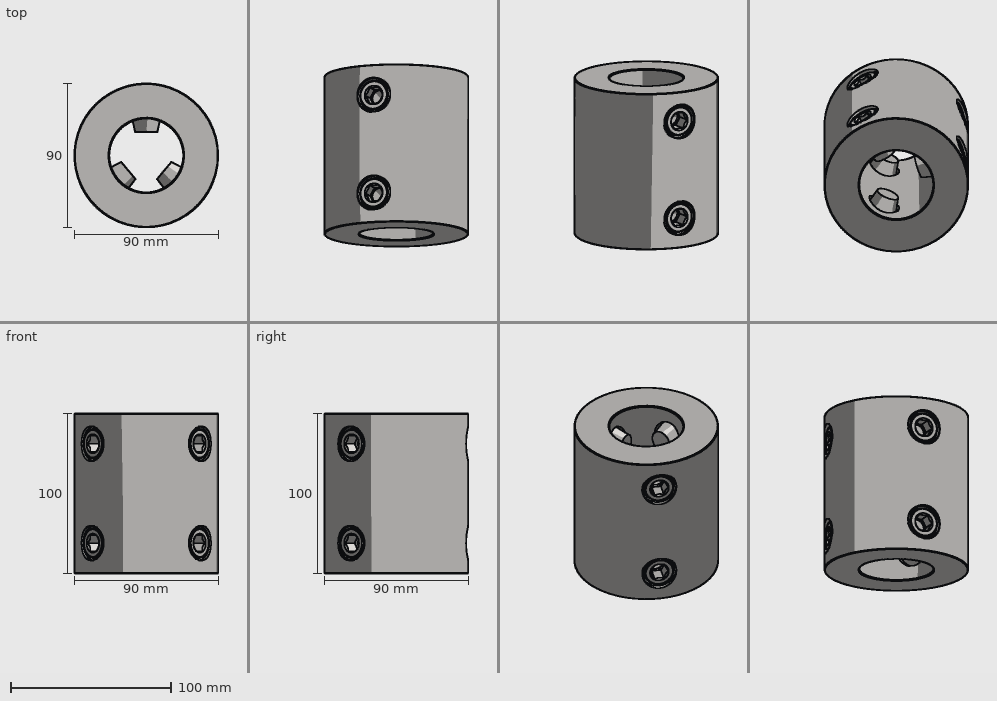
import cadquery as cq
import math

SLEEVE_LENGTH = 100.0
SLEEVE_RADIUS = 45.0
BORE_RADIUS = 23.0
BORE_CHAMFER = 0.7
OUTER_CHAMFER = 0.5

SCREW_ANGLES = (90.0, 220.0, 320.0)
SCREW_END_DISTANCE = 19.0
SCREW_HEIGHTS = (SCREW_END_DISTANCE, SLEEVE_LENGTH - SCREW_END_DISTANCE)

SCREW_RADIUS = 9.3
SCREW_LENGTH = 29.0
TIP_DISTANCE = 14.6
HEAD_DISTANCE = TIP_DISTANCE + SCREW_LENGTH
HEAD_CHAMFER = 0.7
TIP_RADIUS = 7.0
TIP_HALF_ANGLE = 12.5
TIP_TAPER_LENGTH = (SCREW_RADIUS - TIP_RADIUS) / math.tan(math.radians(TIP_HALF_ANGLE))

HEX_WIDTH = 10.0
HEX_CORNER_DIAMETER = HEX_WIDTH / math.cos(math.radians(30.0))
SOCKET_DEPTH = 10.0
SOCKET_MOUTH_RADIUS = 6.0
SOCKET_MOUTH_ANGLE = 55.0
SOCKET_MOUTH_CONE_LENGTH = SOCKET_MOUTH_RADIUS * math.tan(math.radians(SOCKET_MOUTH_ANGLE))

PILOT_RADIUS = HEX_WIDTH / 2
PILOT_DEPTH = 12.2
DRILL_POINT_HALF_ANGLE = 60.0
DRILL_POINT_LENGTH = PILOT_RADIUS / math.tan(math.radians(DRILL_POINT_HALF_ANGLE))

HOLE_RADIUS = 10.0
RELIEF_RADIUS = 10.9
RELIEF_CONE_HALF_ANGLE = 30.0
RELIEF_CONE_LENGTH = (RELIEF_RADIUS - HOLE_RADIUS) / math.tan(math.radians(RELIEF_CONE_HALF_ANGLE))
RELIEF_CONE_END = 42.2
RELIEF_CONE_START = RELIEF_CONE_END - RELIEF_CONE_LENGTH


def revolve_about_x(outline):
    """Solid of revolution about X from (distance along X, radius) points."""
    return cq.Workplane("XY").polyline(outline).close().revolve(360, (0, 0, 0), (1, 0, 0))


def place_at_screw(body, angle, height):
    """Turn a body that lies along +X to a screw's direction and height."""
    return body.rotate((0, 0, 0), (0, 0, 1), angle).translate((0, 0, height))


def make_screw_hole():
    """Cutter for one screw hole, running along +X from the sleeve axis to the outer surface."""
    return revolve_about_x([
        (0, 0),
        (0, HOLE_RADIUS),
        (RELIEF_CONE_START, HOLE_RADIUS),
        (RELIEF_CONE_END, RELIEF_RADIUS),
        (SLEEVE_RADIUS, RELIEF_RADIUS),
        (SLEEVE_RADIUS, 0),
    ])


def make_sleeve():
    sleeve = (
        cq.Workplane("XY")
        .circle(SLEEVE_RADIUS)
        .extrude(SLEEVE_LENGTH)
        .faces("<Z or >Z")
        .chamfer(OUTER_CHAMFER)
        .faces(">Z")
        .workplane()
        .hole(2 * BORE_RADIUS)
        .faces("<Z or >Z")
        .edges(cq.selectors.RadiusNthSelector(0))
        .chamfer(BORE_CHAMFER)
    )
    for angle in SCREW_ANGLES:
        for height in SCREW_HEIGHTS:
            sleeve = sleeve.cut(place_at_screw(make_screw_hole(), angle, height))
    return sleeve


def make_socket():
    """Cutter for the hexagon socket, its conical mouth and the pilot drilling below it."""
    hexagon = (
        cq.Workplane("YZ", origin=(HEAD_DISTANCE, 0, 0))
        .polygon(6, HEX_CORNER_DIAMETER)
        .extrude(-SOCKET_DEPTH)
    )
    mouth = revolve_about_x([
        (HEAD_DISTANCE, 0),
        (HEAD_DISTANCE, SOCKET_MOUTH_RADIUS),
        (HEAD_DISTANCE - SOCKET_MOUTH_CONE_LENGTH, 0),
    ])
    pilot = revolve_about_x([
        (HEAD_DISTANCE, 0),
        (HEAD_DISTANCE, PILOT_RADIUS),
        (HEAD_DISTANCE - PILOT_DEPTH, PILOT_RADIUS),
        (HEAD_DISTANCE - PILOT_DEPTH - DRILL_POINT_LENGTH, 0),
    ])
    return hexagon.union(mouth).union(pilot)


def make_set_screw(angle, height):
    blank = revolve_about_x([
        (TIP_DISTANCE, 0),
        (TIP_DISTANCE, TIP_RADIUS),
        (TIP_DISTANCE + TIP_TAPER_LENGTH, SCREW_RADIUS),
        (HEAD_DISTANCE - HEAD_CHAMFER, SCREW_RADIUS),
        (HEAD_DISTANCE, SCREW_RADIUS - HEAD_CHAMFER),
        (HEAD_DISTANCE, 0),
    ])
    return place_at_screw(blank.cut(make_socket()), angle, height)


sleeve = make_sleeve()
set_screws = [
    make_set_screw(angle, height)
    for angle in SCREW_ANGLES
    for height in SCREW_HEIGHTS
]

result = cq.Compound.makeCompound([sleeve.val(), *[screw.val() for screw in set_screws]])